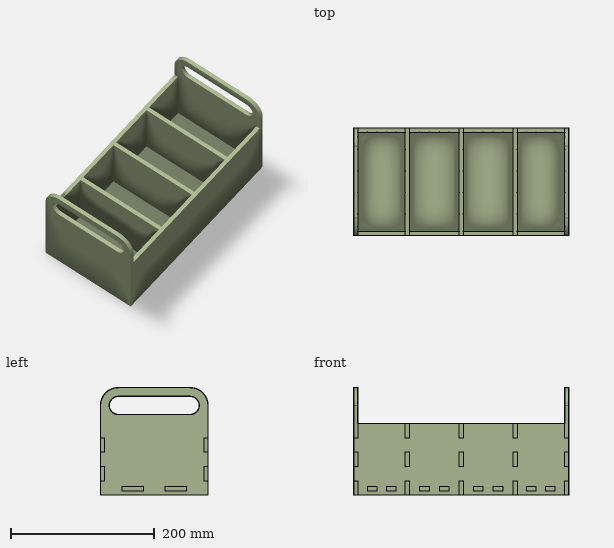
import cadquery as cq


length = 300.0
width = 150.0
wall_height = 100.0
end_height = 150.0
thickness = 6.0
floor_z = 6.0
handle_grip = 12.5
handle_opening = 25.0
bay_count = 4

finger_count = 5
corner_finger = wall_height / finger_count
floor_end_finger = width / finger_count

handle_z = end_height - handle_grip - handle_opening / 2
end_corner_radius = handle_grip + handle_opening / 2
handle_length = width - 2 * handle_grip
far_end_x = length - thickness
far_wall_y = width - thickness
wall_positions_y = [0.0, far_wall_y]
divider_positions_x = [length * i / bay_count - thickness / 2 for i in range(1, bay_count)]
cross_panel_positions_x = [0.0, *divider_positions_x, far_end_x]


def block(x, y, z, size_x, size_y, size_z):
    """Box with its lowest corner at (x, y, z)."""
    return cq.Workplane("XY").box(size_x, size_y, size_z, centered=False).translate((x, y, z))


def odd_fingers(start, finger):
    """Starts of the second and fourth of five fingers."""
    return [start + finger * i for i in range(1, finger_count, 2)]


def cut_wall_notches(panel, x):
    """Notch both upright edges of a cross panel where the side walls pass through."""
    for y in wall_positions_y:
        for z in odd_fingers(0.0, corner_finger):
            panel = panel.cut(block(x, y, z, thickness, thickness, corner_finger))
    return panel


def cut_floor_slots(panel, x):
    """Cut the two slots of a cross panel that the floor passes through."""
    for y in odd_fingers(0.0, floor_end_finger):
        panel = panel.cut(block(x, y, floor_z, thickness, floor_end_finger, thickness))
    return panel


def make_end(x):
    """End panel with rounded top corners and a rounded handle opening."""
    end = block(x, 0.0, 0.0, thickness, width, end_height)
    end = end.edges("|X and >Z").fillet(end_corner_radius)
    opening = (
        cq.Workplane("YZ", origin=(x, width / 2, handle_z))
        .slot2D(handle_length, handle_opening)
        .extrude(thickness)
    )
    end = end.cut(opening)
    return cut_floor_slots(cut_wall_notches(end, x), x)


def make_divider(x):
    """Plain cross panel, jointed like the ends."""
    divider = block(x, 0.0, 0.0, thickness, width, wall_height)
    return cut_floor_slots(cut_wall_notches(divider, x), x)


def make_floor():
    """Floor with tabs into the side walls and bridges through every cross panel."""
    floor = block(thickness, thickness, floor_z,
                  length - 2 * thickness, width - 2 * thickness, thickness)

    for x in divider_positions_x:
        floor = floor.cut(block(x, 0.0, floor_z, thickness, width, thickness))

    for x in cross_panel_positions_x:
        for y in odd_fingers(0.0, floor_end_finger):
            floor = floor.union(block(x, y, floor_z, thickness, floor_end_finger, thickness))

    for near_x, next_x in zip(cross_panel_positions_x, cross_panel_positions_x[1:]):
        bay_start = near_x + thickness
        bay_finger = (next_x - bay_start) / finger_count
        for x in odd_fingers(bay_start, bay_finger):
            for y in wall_positions_y:
                floor = floor.union(block(x, y, floor_z, bay_finger, thickness, thickness))
    return floor


def make_side_wall(y, neighbours):
    """Long wall, cleared for the fingers of the neighbouring panels."""
    wall = block(0.0, y, 0.0, length, thickness, wall_height)
    for neighbour in neighbours:
        wall = wall.cut(neighbour)
    return wall


ends = [make_end(x) for x in (0.0, far_end_x)]
dividers = [make_divider(x) for x in divider_positions_x]
floor_panel = make_floor()
side_walls = [make_side_wall(y, [*ends, *dividers, floor_panel]) for y in wall_positions_y]

bodies = [*ends, *dividers, floor_panel, *side_walls]
result = cq.Compound.makeCompound([body.solids().val() for body in bodies])